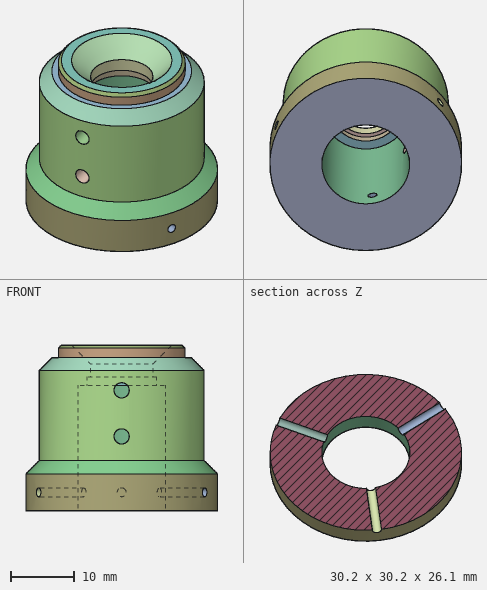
import cadquery as cq

height = 26.1
flange_diameter = 30.2
flange_height = 5.83
body_diameter = 26.0
shoulder_height = 2.0
shoulder_chamfer = 2.0
boss_diameter = 20.0
boss_height = 2.0
boss_chamfer = 0.5

throat_diameter = 9.8
mouth_depth = 3.0
throat_length = 2.0
relief_diameter = 11.0
relief_length = 1.4
chamber_diameter = 13.8

side_hole_diameter = 2.4
side_hole_heights = (11.72, 18.97)
side_hole_angle = 270

flange_hole_diameter = 1.4
flange_hole_height = flange_height / 2
flange_hole_angles = (90, 210, 330)

flange_radius = flange_diameter / 2
body_radius = body_diameter / 2
boss_radius = boss_diameter / 2
shoulder_radius = body_radius - shoulder_chamfer
throat_radius = throat_diameter / 2
relief_radius = relief_diameter / 2
chamber_radius = chamber_diameter / 2
mouth_radius = throat_radius + mouth_depth

boss_bottom = height - boss_height
body_top = boss_bottom - shoulder_height
body_bottom = flange_height + flange_radius - body_radius
throat_top = height - mouth_depth
throat_bottom = throat_top - throat_length
chamber_top = throat_bottom - relief_length


def turned_body():
    """Half section of the sleeve revolved about Z."""
    return (
        cq.Workplane("XZ")
        .moveTo(chamber_radius, 0)
        .lineTo(flange_radius, 0)
        .lineTo(flange_radius, flange_height)
        .lineTo(body_radius, body_bottom)
        .lineTo(body_radius, body_top)
        .lineTo(shoulder_radius, boss_bottom)
        .lineTo(boss_radius, boss_bottom)
        .lineTo(boss_radius, height - boss_chamfer)
        .lineTo(boss_radius - boss_chamfer, height)
        .lineTo(mouth_radius, height)
        .lineTo(throat_radius, throat_top)
        .lineTo(throat_radius, throat_bottom)
        .lineTo(relief_radius, throat_bottom)
        .lineTo(relief_radius, chamber_top)
        .lineTo(chamber_radius, chamber_top)
        .close()
        .revolve(360, (0, 0, 0), (0, 1, 0))
    )


def radial_hole(diameter, level, angle):
    """Cutter from the chamber wall outward; angle is measured from +X about Z."""
    drill = (
        cq.Workplane("YZ")
        .center(0, level)
        .circle(diameter / 2)
        .extrude(flange_diameter)
        .rotate((0, 0, 0), (0, 0, 1), angle)
    )
    chamber_core = cq.Workplane("XY").circle(chamber_radius).extrude(height)
    return drill.cut(chamber_core)


result = turned_body()
for side_level in side_hole_heights:
    result = result.cut(radial_hole(side_hole_diameter, side_level, side_hole_angle))
for flange_angle in flange_hole_angles:
    result = result.cut(radial_hole(flange_hole_diameter, flange_hole_height, flange_angle))